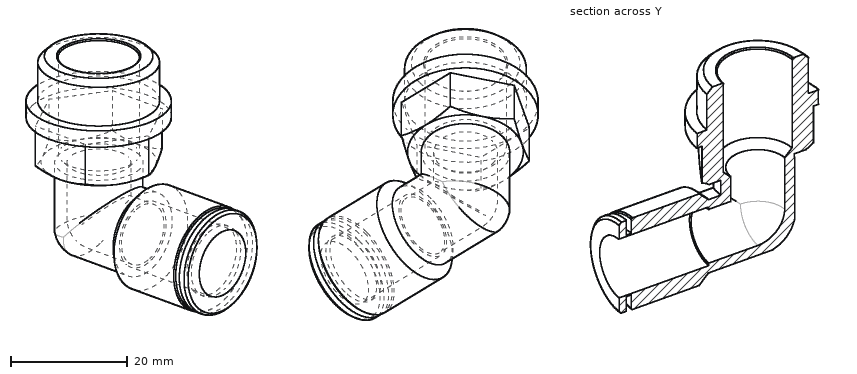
import cadquery as cq
import math


TOP_Z = 30.525
THREAD_DIA = 20.95
THREAD_CHAMFER = 1.15
FLANGE_DIA = 25.0
FLANGE_TOP_Z = 22.05
FLANGE_BOTTOM_Z = 19.0
HEX_BOTTOM_Z = 10.58
HEX_FLATS = 19.9
HEX_CHAMFER_ANGLE = 30.0

PIPE_DIA = 15.2
CORNER_PIVOT = 1.5
HEEL_START = 3.05

SOCKET_DIA = 19.0
SOCKET_START_X = 10.1
SOCKET_END_X = 25.95
SOCKET_CHAMFER = 0.25
NECK_DIA = 12.8
RING_DIA = 18.8
RING_START_X = 26.95
RING_CHAMFER = 0.5
END_X = 28.5

STEM_BORE_DIA = 14.0
STEM_BORE_CHAMFER = 0.25
PASSAGE_DIA = 11.0
TUBE_BORE_DIA = 12.0

PIPE_RADIUS = PIPE_DIA / 2
PASSAGE_RADIUS = PASSAGE_DIA / 2


def cylinder_z(diameter, bottom, top):
    return cq.Workplane("XY").workplane(offset=bottom).circle(diameter / 2).extrude(top - bottom)


def cylinder_x(diameter, start, end):
    return cq.Workplane("YZ").workplane(offset=start).circle(diameter / 2).extrude(end - start)


def elbow():
    """Two equal pipes mitred on x = z, with a rounded heel swung about a Y-parallel axis."""
    seam_angle = math.atan2(HEEL_START - CORNER_PIVOT, PIPE_RADIUS - CORNER_PIVOT)
    reach = 2 * TOP_Z
    along = reach * math.cos(seam_angle)
    across = reach * math.sin(seam_angle)

    stem_side = (
        cq.Workplane("XZ")
        .polyline([
            (-CORNER_PIVOT, -CORNER_PIVOT),
            (reach, reach),
            (-reach, reach),
            (-CORNER_PIVOT - along, -CORNER_PIVOT - across),
        ])
        .close()
        .extrude(PIPE_DIA, both=True)
    )
    branch_side = (
        cq.Workplane("XZ")
        .polyline([
            (-CORNER_PIVOT, -CORNER_PIVOT),
            (-CORNER_PIVOT - across, -CORNER_PIVOT - along),
            (reach, -reach),
            (reach, reach),
        ])
        .close()
        .extrude(PIPE_DIA, both=True)
    )
    stem = cylinder_z(PIPE_DIA, -PIPE_DIA, FLANGE_BOTTOM_Z).intersect(stem_side)
    branch = cylinder_x(PIPE_DIA, -PIPE_DIA, SOCKET_START_X).intersect(branch_side)
    return stem.union(branch).union(heel(seam_angle))


def heel(seam_angle):
    """Oblique pipe section, an ellipse cut off at the pivot, revolved from seam to seam."""
    sweep = 90 - 2 * math.degrees(seam_angle)
    pivot = cq.Vector(-CORNER_PIVOT, 0, -CORNER_PIVOT)
    outward = cq.Vector(-math.cos(seam_angle), 0, -math.sin(seam_angle))
    seam_plane = cq.Plane(origin=pivot, xDir=outward, normal=outward.cross(cq.Vector(0, 1, 0)))
    semi_major = PIPE_RADIUS / math.cos(seam_angle)
    center_offset = CORNER_PIVOT / math.cos(seam_angle)
    half_height = math.sqrt(PIPE_RADIUS**2 - CORNER_PIVOT**2)
    end_angle = math.degrees(math.atan2(half_height / PIPE_RADIUS, center_offset / semi_major))
    return (
        cq.Workplane(seam_plane)
        .center(-center_offset, 0)
        .ellipseArc(semi_major, PIPE_RADIUS, -end_angle, end_angle, startAtCurrent=False)
        .close()
        .revolve(sweep, (center_offset, 0), (center_offset, -1))
    )


def stem_connector():
    thread = cylinder_z(THREAD_DIA, FLANGE_BOTTOM_Z, TOP_Z).faces(">Z").chamfer(THREAD_CHAMFER)
    flange = cylinder_z(FLANGE_DIA, FLANGE_BOTTOM_Z, FLANGE_TOP_Z)
    return thread.union(flange).union(hexagon())


def hexagon():
    """Hexagon with corners on the X axis, its lower corners cut by a cone."""
    height = FLANGE_BOTTOM_Z - HEX_BOTTOM_Z
    corners_dia = HEX_FLATS / math.cos(math.radians(30))
    prism = cq.Workplane("XY").workplane(offset=HEX_BOTTOM_Z).polygon(6, corners_dia).extrude(height)
    flat_radius = HEX_FLATS / 2
    cone_top_radius = flat_radius + height / math.tan(math.radians(HEX_CHAMFER_ANGLE))
    cone = (
        cq.Workplane("XZ")
        .polyline([
            (0, HEX_BOTTOM_Z),
            (flat_radius, HEX_BOTTOM_Z),
            (cone_top_radius, FLANGE_BOTTOM_Z),
            (0, FLANGE_BOTTOM_Z),
        ])
        .close()
        .revolve()
    )
    return prism.intersect(cone)


def branch_socket():
    shoulder = (SOCKET_DIA - PIPE_DIA) / 2
    body = (
        cylinder_x(SOCKET_DIA, SOCKET_START_X, SOCKET_END_X)
        .faces("<X").chamfer(shoulder)
        .faces(">X").chamfer(SOCKET_CHAMFER)
    )
    neck = cylinder_x(NECK_DIA, SOCKET_END_X, RING_START_X)
    ring = cylinder_x(RING_DIA, RING_START_X, END_X).faces(">X").chamfer(RING_CHAMFER)
    return body.union(neck).union(ring)


def stem_bore():
    """Chamfered mouth, straight bore and a 45 degree step down to the passage."""
    bore_radius = STEM_BORE_DIA / 2
    step = bore_radius - PASSAGE_RADIUS
    return (
        cq.Workplane("XZ")
        .polyline([
            (0, 0),
            (PASSAGE_RADIUS, 0),
            (PASSAGE_RADIUS, HEX_BOTTOM_Z),
            (bore_radius, HEX_BOTTOM_Z + step),
            (bore_radius, TOP_Z - STEM_BORE_CHAMFER),
            (bore_radius + STEM_BORE_CHAMFER, TOP_Z),
            (0, TOP_Z),
        ])
        .close()
        .revolve()
    )


def branch_bore():
    passage = cylinder_x(PASSAGE_DIA, 0, END_X)
    return passage.union(cylinder_x(TUBE_BORE_DIA, SOCKET_START_X, END_X))


outside = elbow().union(stem_connector()).union(branch_socket())
bend = cq.Workplane("XY").sphere(PASSAGE_RADIUS)
result = outside.cut(stem_bore()).cut(branch_bore()).cut(bend)